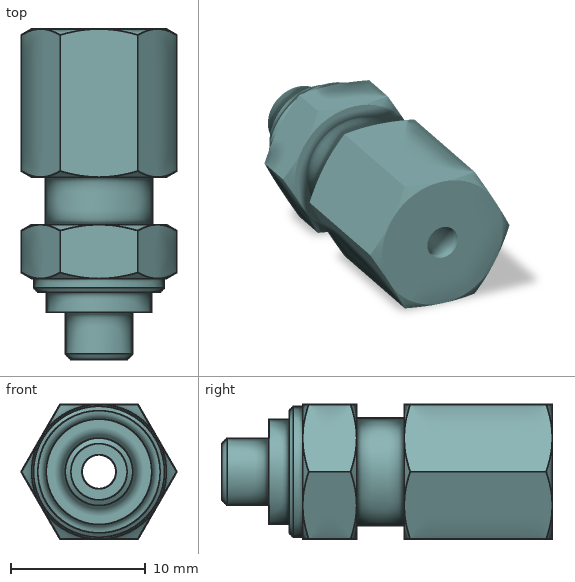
import cadquery as cq
import math

across_flats = 10.0
bore_diameter = 2.5
tip_diameter = 5.0
step_diameter = 7.83
collar_diameter = 9.71
neck_diameter = 8.0

tip_length = 3.5
step_length = 1.5
collar_length = 1.0
nut_length = 4.0
neck_length = 3.53
body_length = 11.0

tip_chamfer = 0.42
collar_chamfer = 0.32
hex_chamfer_angle = 30

step_start = tip_length
collar_start = step_start + step_length
nut_start = collar_start + collar_length
neck_start = nut_start + nut_length
body_start = neck_start + neck_length
total_length = body_start + body_length

across_corners = across_flats / math.cos(math.radians(30))


def cross_section(start):
    """Workplane across the axis, extruding toward +Y."""
    return cq.Workplane("XZ", origin=(0, start, 0)).transformed(rotate=(180, 0, 0))


def cylinder(start, length, diameter):
    return cross_section(start).circle(diameter / 2).extrude(length)


def chamfered_hex(start, length):
    """Hexagon with corners on X, turned down by a cone at both ends."""
    prism = cross_section(start).polygon(6, across_corners).extrude(length)
    flat_radius = across_flats / 2
    corner_radius = across_corners / 2
    bevel = (corner_radius - flat_radius) * math.tan(math.radians(hex_chamfer_angle))
    end = start + length
    turned_envelope = (
        cq.Workplane("XY")
        .polyline([
            (0, start),
            (flat_radius, start),
            (corner_radius, start + bevel),
            (corner_radius, end - bevel),
            (flat_radius, end),
            (0, end),
        ])
        .close()
        .revolve(360, (0, 0, 0), (0, 1, 0))
    )
    return prism.intersect(turned_envelope)


tip = cylinder(0, tip_length, tip_diameter).faces("<Y").edges().chamfer(tip_chamfer)
step = cylinder(step_start, step_length, step_diameter)
collar = cylinder(collar_start, collar_length, collar_diameter).faces("<Y").edges().chamfer(collar_chamfer)
neck = cylinder(neck_start, neck_length, neck_diameter)

nut = chamfered_hex(nut_start, nut_length)
body = chamfered_hex(body_start, body_length)

bore = cylinder(0, total_length, bore_diameter)

result = tip.union(step).union(collar).union(nut).union(neck).union(body).cut(bore)